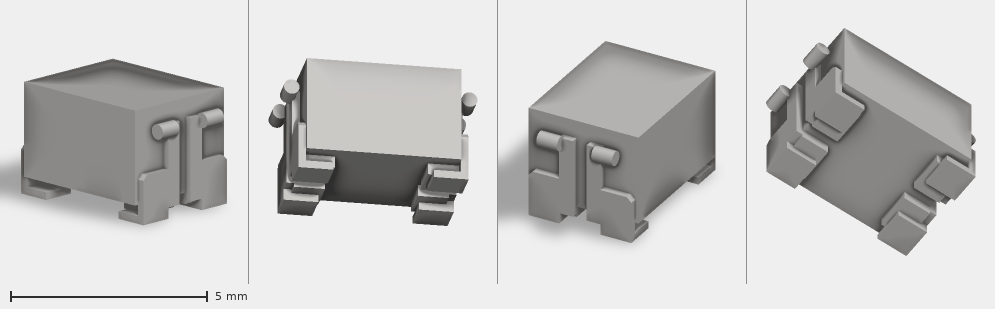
import cadquery as cq

body_length = 4.0
body_width = 3.2
overall_height = 3.0
body_bottom = 0.5

sheet = 0.2
terminal_inner_y = 0.2
terminal_step_y = 0.6
terminal_outer_y = 1.5
stem_bottom = 0.3
stem_top = 2.5
shoulder_top = 1.3
shoulder_chamfer = 0.13
foot_length = 0.9

standoff_length = 0.8
standoff_outer_y = 1.2

wire_radius = 0.2
wire_start_y = 0.5
wire_length = 0.6
wire_overlap = 0.1
wire_z = 2.4

body_end_x = body_length / 2
terminal_face_x = body_end_x + sheet
wire_x = terminal_face_x + wire_radius - wire_overlap


def block(x_range, y_range, z_range):
    """Box filling the given (low, high) ranges."""
    sizes = [high - low for low, high in (x_range, y_range, z_range)]
    corner = (x_range[0], y_range[0], z_range[0])
    return cq.Workplane("XY").box(*sizes, centered=False).translate(corner)


def make_body():
    half_width = body_width / 2
    return block((-body_end_x, body_end_x), (-half_width, half_width), (body_bottom, overall_height))


def make_terminal():
    """Terminal at the +X end on the +Y side."""
    plate_outline = [
        (terminal_inner_y, stem_bottom),
        (terminal_step_y, stem_bottom),
        (terminal_step_y, 0),
        (terminal_outer_y, 0),
        (terminal_outer_y, shoulder_top - shoulder_chamfer),
        (terminal_outer_y - shoulder_chamfer, shoulder_top),
        (terminal_step_y, shoulder_top),
        (terminal_step_y, stem_top),
        (terminal_inner_y, stem_top),
    ]
    plate = cq.Workplane("YZ", origin=(body_end_x, 0, 0)).polyline(plate_outline).close().extrude(sheet)
    foot_x = (terminal_face_x - foot_length, terminal_face_x)
    foot = block(foot_x, (terminal_step_y, terminal_outer_y), (0, sheet))
    return plate.union(foot)


def make_standoff():
    """Block under the body at the +X end on the +Y side, resting on the foot."""
    standoff_x = (body_end_x - standoff_length, body_end_x)
    return block(standoff_x, (terminal_inner_y, standoff_outer_y), (sheet, body_bottom))


def make_wire():
    """Round wire stub along Y at the +X end on the +Y side."""
    start = cq.Workplane("XZ", origin=(wire_x, wire_start_y, wire_z))
    return start.circle(wire_radius).extrude(-wire_length)


corner_parts = make_terminal().union(make_standoff()).union(make_wire())
end_parts = corner_parts.union(corner_parts.mirror("XZ"))
result = make_body().union(end_parts).union(end_parts.mirror("YZ"))